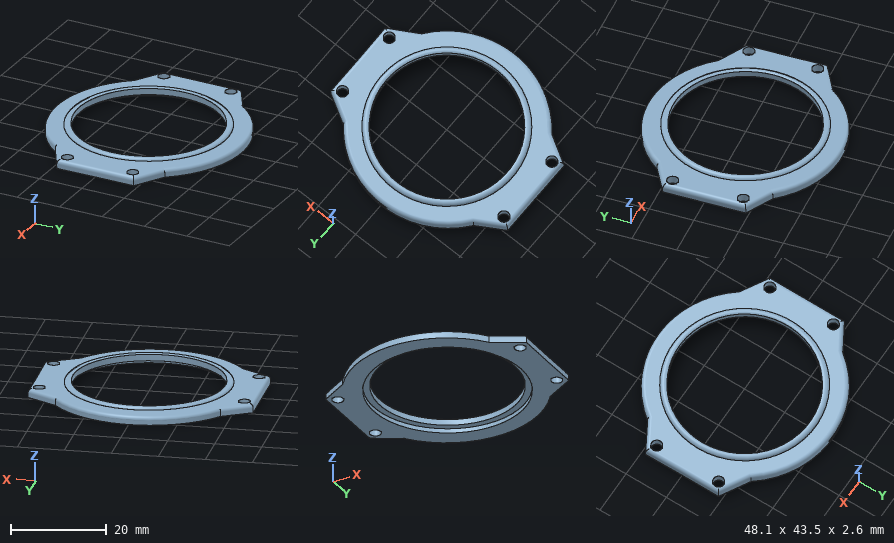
import cadquery as cq

disc_diameter = 43.45
disc_radius = disc_diameter / 2
plate_thickness = 1.95
edge_radius = 0.95
ear_reach = 24.0
left_corner_y = 9.3
right_corner_y = 9.05

left_root_x = -17.8
left_root_y = 12.95
right_root_x = 17.35
right_root_y = 12.9

kink_y = 0.1
lower_right_reach = 24.1

bore_diameter = 32.4
total_height = 2.6
rim_center_radius = 16.8
rim_round_radius = 1.0
recess_radius = 17.7
recess_depth = 1.0

hole_diameter = 2.5
hole_x = 21.85
left_hole_y = 7.9
right_hole_y = 7.7


def make_plate():
    outline = (
        cq.Workplane("XY")
        .moveTo(-ear_reach, -left_corner_y)
        .lineTo(-ear_reach, left_corner_y)
        .lineTo(left_root_x, left_root_y)
        .threePointArc((0, disc_radius), (right_root_x, right_root_y))
        .lineTo(ear_reach, right_corner_y)
        .lineTo(ear_reach, kink_y)
        .lineTo(lower_right_reach, -right_corner_y)
        .lineTo(right_root_x, -right_root_y)
        .threePointArc((0, -disc_radius), (left_root_x, -left_root_y))
        .close()
    )
    return outline.extrude(plate_thickness).faces(">Z").edges().fillet(edge_radius)


def make_rim():
    """Ring of round section, half sunk in the plate, whose crown is the top of the part."""
    center = cq.Vector(0, 0, total_height - rim_round_radius)
    return cq.Workplane(cq.Solid.makeTorus(rim_center_radius, rim_round_radius, center))


def make_screw_holes():
    hole_centers = [
        (x, side * y)
        for x, y in ((-hole_x, left_hole_y), (hole_x, right_hole_y))
        for side in (-1, 1)
    ]
    return cq.Workplane("XY").pushPoints(hole_centers).circle(hole_diameter / 2).extrude(plate_thickness)


bore = cq.Workplane("XY").circle(bore_diameter / 2).extrude(total_height)
recess = cq.Workplane("XY").circle(recess_radius).extrude(recess_depth)

result = make_plate().union(make_rim()).cut(bore).cut(recess).cut(make_screw_holes())